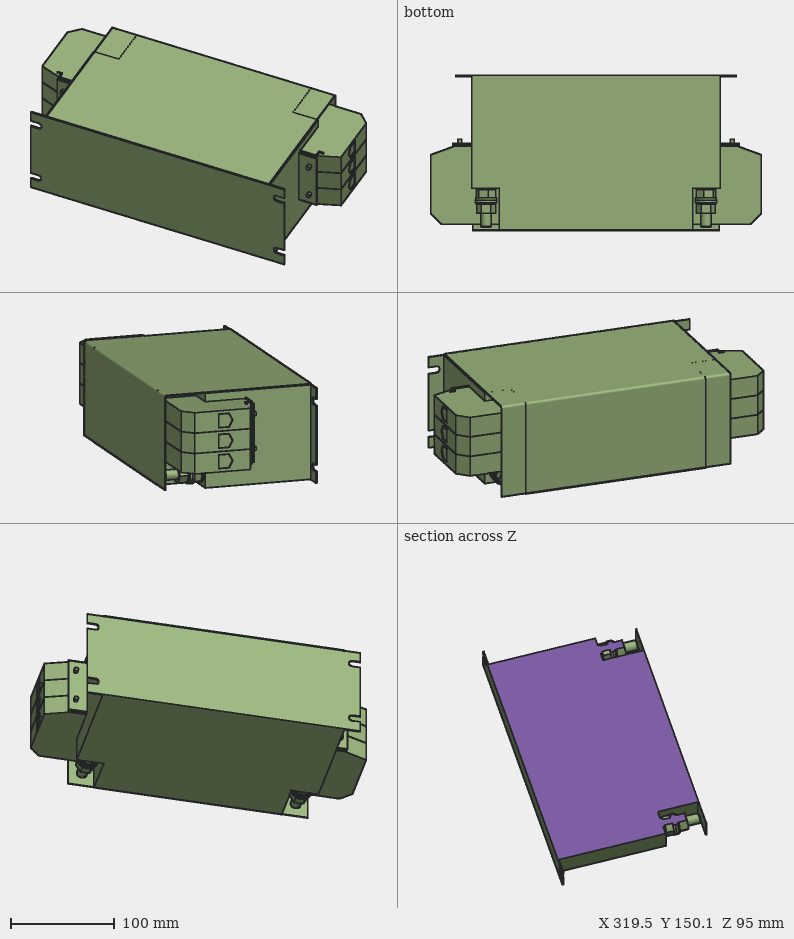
import cadquery as cq
import math

length = 319.5
depth = 150.1
height = 95.0
sheet = 1.0
lid_half_width = 119.0
side_half_width = 120.0
front_height = height - sheet
lid_bend_radius = 2.5
lid_setback = 0.4
back_flange_bottom = 1.0

core_half_width = 93.2
recess_front_y = 109.0

mount_half_width = 135.5
mount_thickness = 1.5
slot_width = 6.8
slot_depth = 11.3
slot_heights = (14.5, 80.0)

terminal_outer_x = length / 2
terminal_back_y = 144.0
terminal_front_y = 68.4
terminal_chamfer = 10.5
terminal_slant_y = 76.8
terminal_slant_length = 23.0
terminal_bottom = 25.0
pole_count = 3
pole_pitch = 20.25
pole_joint_width = 0.1
pole_joint_depth = 0.2

entry_back_y = recess_front_y
entry_shoulder_y = 98.5
entry_tip_y = 94.8
entry_height = 13.5
entry_depth = 1.0

rail_outer_x = 138.1
bracket_outer_x = 138.5
rail_lip_x = 142.3
rail_back_y = 74.8
rail_top = 86.7
bracket_front_y = 65.6
bracket_back_y = 67.2
bracket_bottom = 26.5
bracket_top = 84.7
screw_x = 131.5
screw_diameter = 4.0
screw_front_y = 61.8
screw_spacing = 34.6

stud_x = (core_half_width + lid_half_width) / 2
stud_z = 12.5
stud_diameter = 10.0
stud_end_y = 146.8
stud_tip_chamfer = 0.8
collar_diameter = 19.0
base_nut_start_y = 110.8
base_nut_flats = 17.0
base_nut_turn = 17.0
washer_start_y = 118.3
washer_joint_y = 120.6
washer_diameter = 20.5
inner_washer_diameter = 20.3
lock_washer_start_y = 123.0
lock_washer_diameter = 19.0
top_nut_start_y = 124.5
top_nut_end_y = 133.2
top_nut_flats = 15.8


def block(x_range, y_range, z_range):
    """Box spanning the given (low, high) ranges."""
    lows, highs = zip(x_range, y_range, z_range)
    sizes = [high - low for low, high in zip(lows, highs)]
    return cq.Workplane("XY").box(*sizes, centered=False).translate(lows)


def symmetric_block(half_width, y_range, z_range):
    """Box centred on X."""
    return block((-half_width, half_width), y_range, z_range)


def enclosure():
    """Filled housing with recessed rear corners, side sheets and a bent lid."""
    housing = symmetric_block(side_half_width, (0, recess_front_y), (0, front_height))
    core = symmetric_block(core_half_width, (0, depth - sheet), (0, front_height))
    lid = symmetric_block(lid_half_width, (lid_setback, depth), (back_flange_bottom, height))
    lid = lid.edges(">Y and >Z").fillet(lid_bend_radius)
    under_lid = symmetric_block(lid_half_width, (0, depth - sheet), (0, front_height))
    inner_bend_radius = lid_bend_radius - sheet
    under_lid = under_lid.edges(">Y and >Z").fillet(inner_bend_radius)
    return housing.union(lid.cut(under_lid)).union(core)


def mounting_plate():
    """Front plate with two round-ended open slots at each end."""
    plate = symmetric_block(mount_half_width, (0, mount_thickness), (0, front_height))
    slot_length = 2 * slot_depth
    for side in (-1, 1):
        for slot_z in slot_heights:
            slot = (
                cq.Workplane("XZ", origin=(side * mount_half_width, 0, slot_z))
                .slot2D(slot_length, slot_width)
                .extrude(-mount_thickness)
            )
            plate = plate.cut(slot)
    return plate


def terminal_outline(base_z):
    """Closed plan outline of the -X terminal stack at the given height."""
    outline = [
        (-core_half_width, terminal_front_y),
        (-terminal_outer_x + terminal_slant_length, terminal_front_y),
        (-terminal_outer_x, terminal_slant_y),
        (-terminal_outer_x, terminal_back_y - terminal_chamfer),
        (-terminal_outer_x + terminal_chamfer, terminal_back_y),
        (-core_half_width, terminal_back_y),
    ]
    return cq.Workplane("XY", origin=(0, 0, base_z)).polyline(outline).close()


def pole_joint(joint_z):
    """Fine ring around the terminal stack, removed where two poles meet."""
    base_z = joint_z - pole_joint_width / 2
    slab = terminal_outline(base_z).extrude(pole_joint_width)
    web = terminal_outline(base_z).offset2D(-pole_joint_depth).extrude(pole_joint_width)
    return slab.cut(web)


def terminal():
    """Terminal stack on the -X side with pole joints and wire entries."""
    body = terminal_outline(terminal_bottom).extrude(pole_count * pole_pitch)
    for joint in range(1, pole_count):
        body = body.cut(pole_joint(terminal_bottom + joint * pole_pitch))
    for pole in range(pole_count):
        middle = terminal_bottom + (pole + 0.5) * pole_pitch
        entry = [
            (entry_back_y, middle - entry_height / 2),
            (entry_shoulder_y, middle - entry_height / 2),
            (entry_tip_y, middle),
            (entry_shoulder_y, middle + entry_height / 2),
            (entry_back_y, middle + entry_height / 2),
        ]
        pocket = cq.Workplane("YZ", origin=(-terminal_outer_x, 0, 0)).polyline(entry).close()
        body = body.cut(pocket.extrude(entry_depth))
    return body


def rail_and_bracket():
    """Lipped rail, its bracket and the two screw ends on the -X side."""
    z_range = (terminal_bottom, rail_top)
    inner_x = -side_half_width
    web_inner_x = -rail_outer_x + sheet
    base = block((-rail_outer_x, inner_x), (bracket_back_y, bracket_back_y + sheet), z_range)
    web = block((-rail_outer_x, web_inner_x), (bracket_back_y, rail_back_y), z_range)
    lip = block((-rail_lip_x, web_inner_x), (rail_back_y - sheet, rail_back_y), z_range)
    bracket = block(
        (-bracket_outer_x, inner_x), (bracket_front_y, bracket_back_y), (bracket_bottom, bracket_top)
    )
    mount = base.union(web).union(lip).union(bracket)
    middle = (bracket_bottom + bracket_top) / 2
    for side in (-1, 1):
        screw = (
            cq.Workplane("XZ", origin=(-screw_x, bracket_back_y, middle + side * screw_spacing / 2))
            .circle(screw_diameter / 2)
            .extrude(bracket_back_y - screw_front_y)
        )
        mount = mount.union(screw)
    return mount


def stud_plane(start_y):
    """Workplane across the stud axis at the given Y, extruding towards -Y."""
    return cq.Workplane("XZ", origin=(-stud_x, start_y, stud_z))


def stud_disc(diameter, start_y, end_y):
    """Round stage of the earth stud."""
    return stud_plane(start_y).circle(diameter / 2).extrude(start_y - end_y)


def stud_nut(flats, turn, start_y, end_y):
    """Hexagonal stage of the earth stud, turned about the stud axis."""
    corners = flats / math.cos(math.pi / 6)
    nut = stud_plane(start_y).polygon(6, corners).extrude(start_y - end_y)
    return nut.rotate((-stud_x, 0, stud_z), (-stud_x, 1, stud_z), turn)


def earth_stud():
    """Threaded stud with its nuts and washers on the -X side."""
    stud = stud_disc(stud_diameter, recess_front_y, stud_end_y)
    stud = stud.faces(">Y").chamfer(stud_tip_chamfer)
    stages = (
        stud_disc(collar_diameter, recess_front_y, base_nut_start_y),
        stud_nut(base_nut_flats, base_nut_turn, base_nut_start_y, washer_start_y),
        stud_disc(inner_washer_diameter, washer_start_y, washer_joint_y),
        stud_disc(washer_diameter, washer_joint_y, lock_washer_start_y),
        stud_disc(lock_washer_diameter, lock_washer_start_y, top_nut_start_y),
        stud_nut(top_nut_flats, 0, top_nut_start_y, top_nut_end_y),
    )
    for stage in stages:
        stud = stud.union(stage)
    return stud


result = enclosure().union(mounting_plate())
connections = terminal().union(rail_and_bracket()).union(earth_stud())
result = result.union(connections).union(connections.mirror("YZ"))